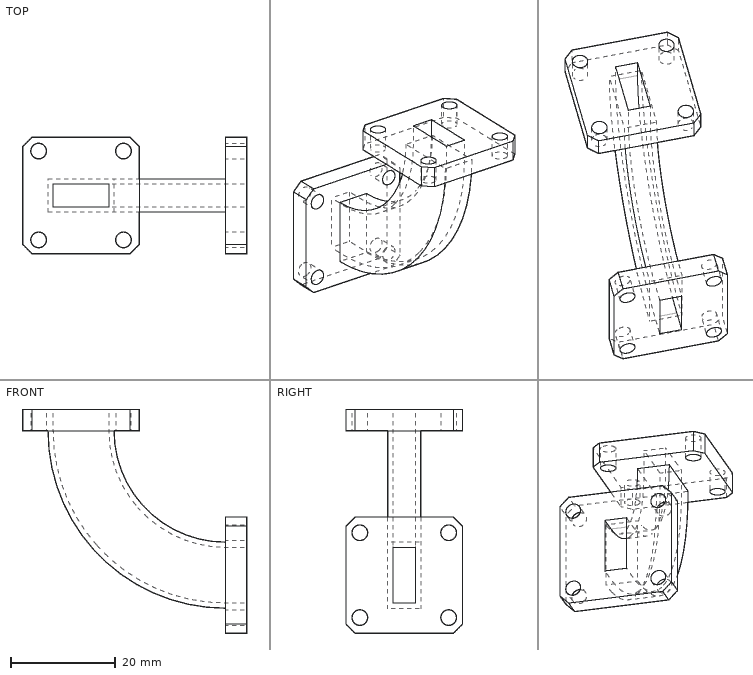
import cadquery as cq


overall_length = 42.93

flange_size = 22.35
flange_thickness = 4.1
flange_chamfer = 1.78
bolt_diameter = 2.95
bolt_spacing_in_plane = 16.26
bolt_spacing_y = 17.02

tube_depth = 12.7
tube_width = 6.35
bore_depth = 10.67
bore_width = 4.32

axis_to_face = overall_length - flange_size / 2
bend_radius = axis_to_face - flange_thickness


def bend_path(straight_end):
    """Centreline quarter arc from the +Z flange to the +X flange, with optional straight ends."""
    mid_offset = bend_radius * (1 - 0.5 ** 0.5)
    path = cq.Workplane("XZ").moveTo(0, bend_radius + straight_end)
    if straight_end > 0:
        path = path.lineTo(0, bend_radius)
    path = path.threePointArc((mid_offset, mid_offset), (bend_radius, 0))
    if straight_end > 0:
        path = path.lineTo(bend_radius + straight_end, 0)
    return path


def swept_section(depth, width, straight_end):
    """Rectangular section carried along the bend centreline."""
    start = cq.Workplane("XY").workplane(offset=bend_radius + straight_end)
    return start.rect(depth, width).sweep(bend_path(straight_end))


def top_flange():
    """Square flange on +Z with cut corners and four bolt holes."""
    return (
        cq.Workplane("XY")
        .workplane(offset=bend_radius)
        .rect(flange_size, flange_size)
        .extrude(flange_thickness)
        .edges("|Z")
        .chamfer(flange_chamfer)
        .faces(">Z")
        .workplane()
        .rect(bolt_spacing_in_plane, bolt_spacing_y, forConstruction=True)
        .vertices()
        .hole(bolt_diameter)
    )


def side_flange():
    """The same flange turned about Y so that it faces +X."""
    return top_flange().rotate((0, 0, 0), (0, 1, 0), 90)


tube = swept_section(tube_depth, tube_width, 0)
bore = swept_section(bore_depth, bore_width, flange_thickness)
result = tube.union(top_flange()).union(side_flange()).cut(bore)